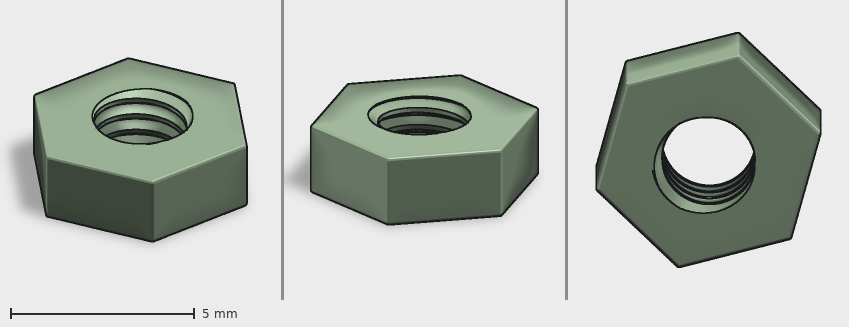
import cadquery as cq
import math

across_flats = 5.5
nut_height = 2.0
edge_radius = 0.1

minor_diameter = 2.53
major_diameter = 3.09
pitch = 0.5
flank_half_angle = math.radians(30)
crest_width = 0.14
groove_top_angle = 90

bore_overlap = 0.04
extra_turns = 1


def hex_body():
    """Hexagonal prism with two flats facing +Y and -Y and every edge rounded."""
    corner_diameter = across_flats / math.cos(math.pi / 6)
    prism = cq.Workplane("XY").polygon(6, corner_diameter).extrude(nut_height)
    return prism.edges().fillet(edge_radius)


def bore():
    """Cylinder at the thread's minor diameter."""
    return cq.Workplane("XY").circle(minor_diameter / 2).extrude(nut_height)


def thread_groove():
    """Trapezoidal groove section swept along a helix through the bore."""
    minor_radius = minor_diameter / 2
    major_radius = major_diameter / 2
    inner_radius = minor_radius - bore_overlap
    flank_slope = math.tan(flank_half_angle)
    mouth_half_width = (pitch - crest_width) / 2
    root_half_width = mouth_half_width - (major_radius - minor_radius) * flank_slope
    inner_half_width = mouth_half_width + bore_overlap * flank_slope

    helix_height = nut_height + 2 * extra_turns * pitch
    path = cq.Wire.makeHelix(pitch, helix_height, minor_radius)
    section = cq.Workplane("XZ").polyline(
        [
            (inner_radius, -inner_half_width),
            (major_radius, -root_half_width),
            (major_radius, root_half_width),
            (inner_radius, inner_half_width),
        ]
    ).close()
    groove = section.sweep(cq.Workplane(path), isFrenet=True)

    return groove.rotate((0, 0, 0), (0, 0, 1), groove_top_angle).translate((0, 0, -extra_turns * pitch))


result = hex_body().cut(bore()).cut(thread_groove())